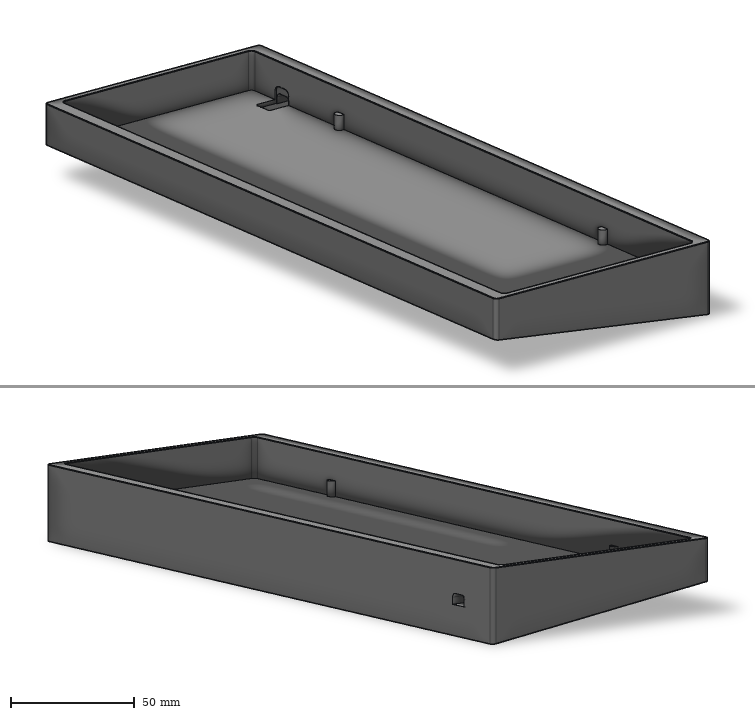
import cadquery as cq
import math

length = 293.7
width = 110.7
back_height = 31.7
front_height = 18.0
corner_radius = 1.8

edge_chamfer = 0.3

end_wall = 3.2
side_wall = 6.5
cavity_depth = 17.0
cavity_corner_radius = 1.8

post_diameter = 4.0
post_height = 6.5
back_post_spacing = 171.5
front_post_spacing = 185.5
back_post_inset = 1.0
front_post_inset = 0.0

recess_x = -124.2
recess_width = 8.8
recess_length = 10.0
recess_depth = 1.8
recess_corner_radius = 1.2

pocket_height = 8.0
pocket_wall_depth = 0.5
pocket_corner_radius = 2.3
port_width = 7.5
port_height = 4.7
port_corner_radius = 1.8

foot_diameter = 4.0
foot_depth = 1.2
foot_inset = 5.0

cavity_length = length - 2 * end_wall
cavity_width = width - 2 * side_wall
floor_z = -cavity_depth
cavity_back_y = cavity_width / 2
recess_floor_z = floor_z - recess_depth


def wedge():
    half_width = width / 2
    profile = [
        (-half_width, 0),
        (half_width, 0),
        (half_width, -back_height),
        (-half_width, -front_height),
    ]
    body = cq.Workplane("YZ").polyline(profile).close().extrude(length / 2, both=True)
    return body.edges("|Z").fillet(corner_radius)


def cavity():
    block = (
        cq.Workplane("XY")
        .workplane(offset=floor_z)
        .rect(cavity_length, cavity_width)
        .extrude(cavity_depth)
    )
    return block.edges("|Z").fillet(cavity_corner_radius)


def posts():
    back_y = cavity_back_y - back_post_inset
    front_y = -cavity_width / 2 + front_post_inset
    centers = []
    for side in (-1, 1):
        centers.append((side * back_post_spacing / 2, back_y))
        centers.append((side * front_post_spacing / 2, front_y))
    return (
        cq.Workplane("XY")
        .workplane(offset=floor_z)
        .pushPoints(centers)
        .circle(post_diameter / 2)
        .extrude(post_height)
    )


def cable_recess():
    block = (
        cq.Workplane("XY")
        .box(recess_width, recess_length, recess_depth, centered=(True, False, False))
        .edges("|Z and <Y")
        .fillet(recess_corner_radius)
    )
    return block.translate((recess_x, cavity_back_y - recess_length, recess_floor_z))


def wall_opening(opening_width, opening_height, radius, depth):
    """Cutter with rounded upper corners, entering the back wall from the cavity."""
    block = (
        cq.Workplane("XY")
        .box(opening_width, depth, opening_height, centered=(True, False, False))
        .edges("|Y and >Z")
        .fillet(radius)
    )
    return block.translate((recess_x, cavity_back_y, recess_floor_z))


def foot_sockets():
    """Cylinders sunk square into the sloping underside."""
    slope = math.degrees(math.atan2(back_height - front_height, width))
    middle_z = -(back_height + front_height) / 2
    return (
        cq.Workplane("XY", origin=(0, 0, middle_z))
        .transformed(rotate=(-slope, 0, 0))
        .rect(length - 2 * foot_inset, width - 2 * foot_inset, forConstruction=True)
        .vertices()
        .circle(foot_diameter / 2)
        .extrude(foot_depth)
    )


tray = wedge().cut(cavity())
tray = tray.faces(">Z").chamfer(edge_chamfer)
tray = tray.faces("<Z").chamfer(edge_chamfer)
tray = tray.union(posts()).cut(cable_recess()).cut(foot_sockets())
tray = tray.cut(wall_opening(recess_width, pocket_height, pocket_corner_radius, pocket_wall_depth))
result = tray.cut(wall_opening(port_width, port_height, port_corner_radius, side_wall))